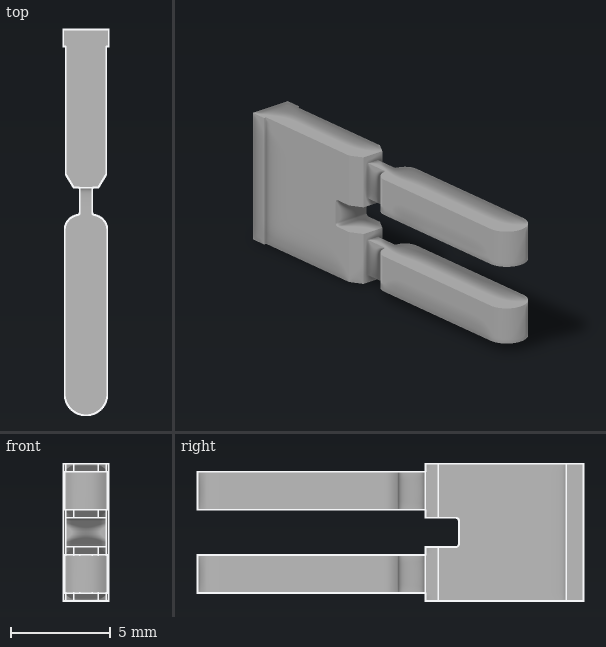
import cadquery as cq

length = 19.36
height = 6.9
back_y = length / 2
tip_y = -length / 2

head_width = 2.3
head_length = 0.87
body_width = 2.03
body_length = 7.94
taper_length = 0.65
front_width = 1.24
front_y = back_y - body_length

slot_height = 1.45
slot_depth = 1.68
slot_corner_radius = 0.15

prong_width = 2.15
prong_height = 1.92
prong_center_z = 2.1
neck_width = 0.64
neck_length = 1.35
shoulder_radius = 0.77
neck_fillet = 0.12
root_fillet = 0.05
neck_embed = 0.39
shoulder_y = front_y - neck_length


def make_body():
    head = cq.Workplane("XY").box(head_width, head_length, height)
    head = head.translate((0, back_y - head_length / 2, 0))
    plate = (
        cq.Workplane("XY", origin=(0, 0, -height / 2))
        .moveTo(-body_width / 2, back_y)
        .lineTo(body_width / 2, back_y)
        .lineTo(body_width / 2, front_y + taper_length)
        .lineTo(front_width / 2, front_y)
        .lineTo(-front_width / 2, front_y)
        .lineTo(-body_width / 2, front_y + taper_length)
        .close()
        .extrude(height)
    )
    slot = (
        cq.Workplane("XY")
        .box(head_width, slot_depth, slot_height)
        .edges("|X and >Y")
        .fillet(slot_corner_radius)
        .translate((0, front_y + slot_depth / 2, 0))
    )
    return head.union(plate).cut(slot)


def make_prong(center_z):
    blade_length = shoulder_y - tip_y
    tip_center_y = tip_y + prong_width / 2
    straight_length = blade_length - prong_width / 2
    blade = (
        cq.Workplane("XY")
        .box(prong_width, straight_length, prong_height)
        .edges("|Z and >Y")
        .fillet(shoulder_radius)
        .translate((0, tip_center_y + straight_length / 2, 0))
    )
    tip = cq.Workplane("XY").circle(prong_width / 2).extrude(prong_height / 2, both=True)
    blade = blade.union(tip.translate((0, tip_center_y, 0)))

    neck_back_y = front_y + neck_embed
    neck_front_y = shoulder_y - shoulder_radius
    neck = cq.Workplane("XY").box(neck_width, neck_back_y - neck_front_y, prong_height)
    neck = neck.translate((0, (neck_back_y + neck_front_y) / 2, 0))
    prong = blade.union(neck)

    corner_zone = cq.selectors.BoxSelector(
        (-neck_width, shoulder_y - neck_fillet, -prong_height),
        (neck_width, shoulder_y + neck_fillet, prong_height),
    )
    prong = prong.edges("|Z").edges(corner_zone).fillet(neck_fillet)
    return prong.translate((0, 0, center_z))


def make_root_fillet(side, center_z):
    corner_x = side * neck_width / 2
    outer_x = corner_x + side * root_fillet
    return (
        cq.Workplane("XY", origin=(0, 0, center_z - prong_height / 2))
        .moveTo(corner_x, front_y)
        .lineTo(outer_x, front_y)
        .radiusArc((corner_x, front_y - root_fillet), -side * root_fillet)
        .close()
        .extrude(prong_height)
    )


result = make_body()
for z in (-prong_center_z, prong_center_z):
    result = result.union(make_prong(z))
    for side in (-1, 1):
        result = result.union(make_root_fillet(side, z))